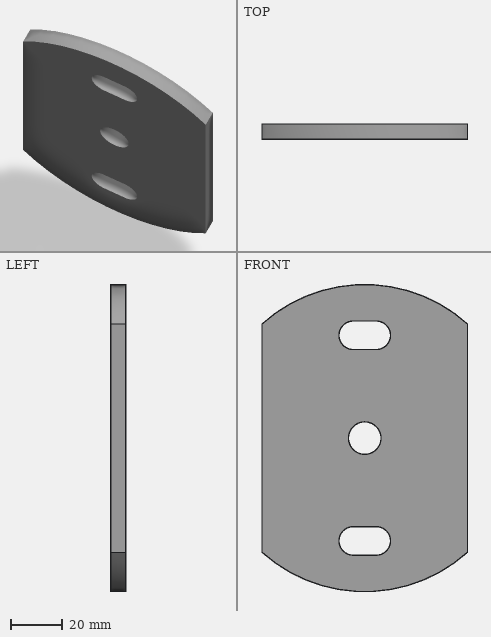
import cadquery as cq

height = 119.6
width = 80.0
thickness = 6.0

centre_hole_diameter = 12.5
slot_length = 20.0
slot_height = 11.0
slot_spacing = width

disc = cq.Workplane("XZ").circle(height / 2).extrude(thickness / 2, both=True)
flats = cq.Workplane("XY").box(width, thickness, height)
plate = disc.intersect(flats)

centre_hole = (
    cq.Workplane("XZ")
    .circle(centre_hole_diameter / 2)
    .extrude(thickness, both=True)
)

slots = (
    cq.Workplane("XZ")
    .pushPoints([(0, -slot_spacing / 2), (0, slot_spacing / 2)])
    .slot2D(slot_length, slot_height)
    .extrude(thickness, both=True)
)

result = plate.cut(centre_hole).cut(slots)